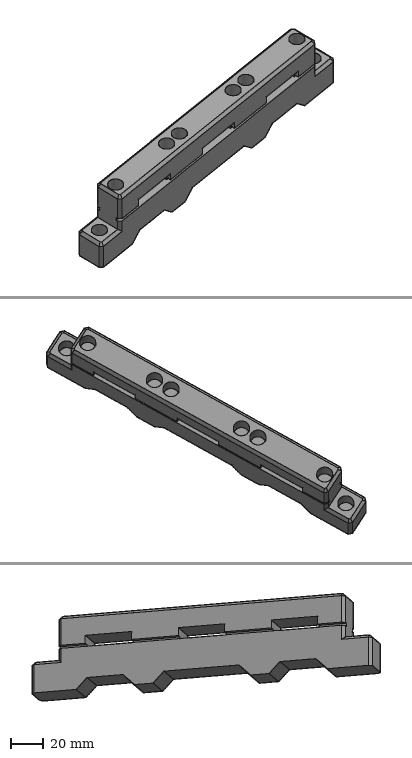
import cadquery as cq

length = 220.0
width = 20.0
height = 48.0
edge_chamfer = 2.0

upper_length = 185.0
step_height = 20.0

slit_bottom = 27.0
slit_height = 2.0
slit_depth = 3.3
window_length = 30.0
window_height = 7.0
window_pitch = 60.0

relief_height = 7.0
relief_slope_run = 7.0
middle_relief_length = 62.5
outer_relief_length = 37.2
outer_relief_offset = 62.3

hole_diameter = 10.0
hole_depth = 11.0
upper_hole_offsets = (25.3, 37.2, 85.1)
step_hole_offset = 100.3


def chamfered_block(block_length, bottom, top):
    """Block with its vertical edges and top rim chamfered."""
    block = cq.Workplane("XY").workplane(offset=bottom).rect(width, block_length).extrude(top - bottom)
    block = block.edges("|Z").chamfer(edge_chamfer)
    return block.faces(">Z").edges().chamfer(edge_chamfer)


def relief(center, bottom_length):
    """Trapezoidal cutter across the full width, narrowing upward."""
    half_bottom = bottom_length / 2
    half_top = half_bottom - relief_slope_run
    outline = [
        (center - half_bottom, 0),
        (center - half_top, relief_height),
        (center + half_top, relief_height),
        (center + half_bottom, 0),
    ]
    return cq.Workplane("YZ").polyline(outline).close().extrude(width / 2, both=True)


def blind_hole(offset, top):
    """Flat-bottomed hole cutter going down from the given level."""
    plane = cq.Workplane("XY").workplane(offset=top)
    return plane.center(0, offset).circle(hole_diameter / 2).extrude(-hole_depth)


lower_block = chamfered_block(length, 0, step_height)
upper_block = chamfered_block(upper_length, step_height - edge_chamfer, height)
result = lower_block.union(upper_block)

for side in (-1, 1):
    slit_center = side * (width - slit_depth) / 2
    slit = cq.Workplane("XY").box(slit_depth, length, slit_height, centered=(True, True, False))
    result = result.cut(slit.translate((slit_center, 0, slit_bottom)))

for index in (-1, 0, 1):
    window = cq.Workplane("XY").box(width, window_length, window_height, centered=(True, True, False))
    result = result.cut(window.translate((0, index * window_pitch, slit_bottom)))

result = result.cut(relief(0, middle_relief_length))
for side in (-1, 1):
    result = result.cut(relief(side * outer_relief_offset, outer_relief_length))

for side in (-1, 1):
    for offset in upper_hole_offsets:
        result = result.cut(blind_hole(side * offset, height))
    result = result.cut(blind_hole(side * step_hole_offset, step_height))